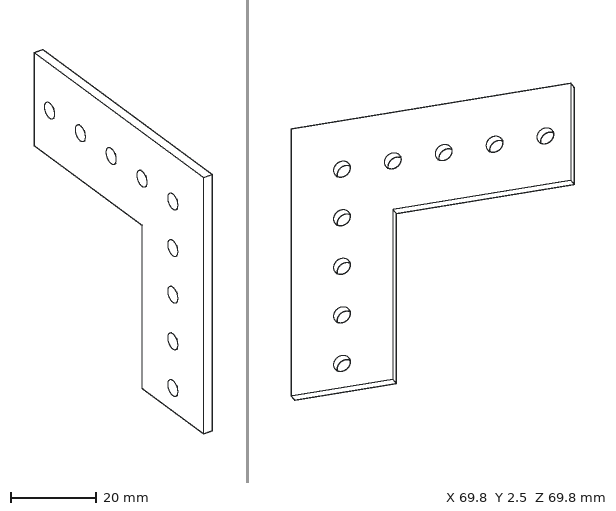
import cadquery as cq

pitch = 12.7
thickness = 2.5
hole_diameter = 4.14
holes_per_arm = 5

arm_width = 2 * pitch
end_margin = pitch / 2
corner_margin = arm_width / 2
arm_length = end_margin + (holes_per_arm - 1) * pitch + corner_margin


def corner_plate():
    """L-shaped plate in the XZ plane: one arm along the top, one down the right side."""
    inner_x = arm_length - arm_width
    inner_z = arm_length - arm_width
    outline = [
        (0, arm_length),
        (arm_length, arm_length),
        (arm_length, 0),
        (inner_x, 0),
        (inner_x, inner_z),
        (0, inner_z),
    ]
    return cq.Workplane("XZ").polyline(outline).close().extrude(-thickness)


def hole_centers():
    """Centers on the middle line of each arm, stepping away from the shared corner hole."""
    corner = arm_length - corner_margin
    centers = [(corner, corner)]
    for step in range(1, holes_per_arm):
        offset = step * pitch
        centers.append((corner - offset, corner))
        centers.append((corner, corner - offset))
    return centers


def hole_cutters():
    """Cylinders that pass through the full plate thickness."""
    return (
        cq.Workplane("XZ")
        .pushPoints(hole_centers())
        .circle(hole_diameter / 2)
        .extrude(-thickness)
    )


result = corner_plate().cut(hole_cutters())